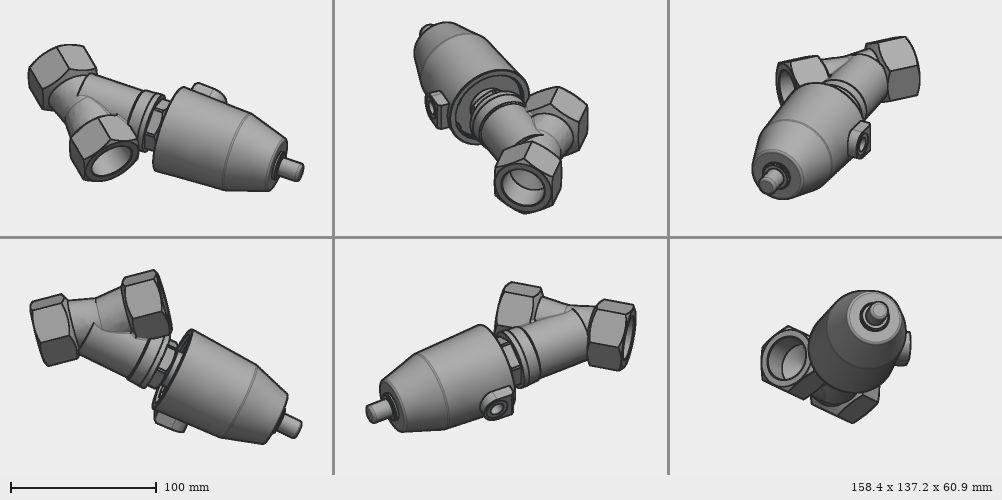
import cadquery as cq
import math

RUN_LENGTH = 90.0
HEX_FLATS = 41.0
HEX_END_DIAMETER = 40.3
HEX_CHAMFER_ANGLE = 30.0
HEX_HALF_ANGLE = 30.0
TUBE_RADIUS = 17.5
SOCKET_LENGTH = 26.0
BEND_RISE = 3.3
BORE_DIAMETER = 30.3
BORE_DEPTH = 19.0
BORE_CHAMFER = 0.5
DRILL_ANGLE = 118.0

AXIS_X = 29.8
AXIS_ANGLE = 42.0

BRANCH_START = 6.3
BRANCH_RADIUS = 19.0
COLLAR_START = 45.6
COLLAR_STEP = 1.0
COLLAR_TOP_RADIUS = 20.5
BRANCH_END = 55.1
JOINT_FILLET = 1.3

FLANGE_RADIUS = 20.6
FLANGE_END = 59.3
BONNET_FLATS = 32.0
BONNET_CORNER_RADIUS = 17.99
BONNET_HEX_END = 68.5
BONNET_END_RADIUS = 14.0
NECK_RADIUS = 13.0
VENT_DIAMETER = 2.5
VENT_DEPTH = 3.2
VENT_PLACE = 70.0

HOUSING_START = 71.0
HOUSING_RADIUS = 30.5
SHOULDER_PLACE = 121.9
SHOULDER_RADIUS = 27.9
SHOULDER_FILLET = 4.8
CONE_END_RADIUS = 18.94
HOUSING_END = 150.9
END_FILLET = 1.9
RIM_CHAMFER = 0.5

PLATE_RADIUS = 26.0
PLATE_SETBACK = 4.0
PLATE_THICKNESS = 4.8

RING_THICKNESS = 1.9
RING_INNER_RADIUS = 25.2
EAR_INNER_RADIUS = 24.0
RING_GAP_HALF_ANGLE = 20.0
EAR_SPAN_ANGLE = 10.0

PORT_START = 75.3
PORT_HOLE_PLACE = 88.5
PORT_WIDTH = 20.0
PORT_HEIGHT = 36.3
PORT_CHAMFER = 2.0
PORT_RECESS_DIAMETER = 16.0
PORT_RECESS_DEPTH = 0.3
PORT_HOLE_DIAMETER = 9.8
PORT_HOLE_DEPTH = 12.7

INDICATOR_FLANGE_RADIUS = 10.0
INDICATOR_FLANGE_THICKNESS = 2.7
INDICATOR_FLANGE_CHAMFER = 1.0
STEM_RADIUS = 6.5
STEM_END = 168.3
STEM_END_FILLET = 1.9


def on_actuator_axis(body):
    """Move a body built along the X axis to the actuator axis."""
    return body.rotate((0, 0, 0), (0, 0, 1), AXIS_ANGLE).translate((AXIS_X, 0, 0))


def turned(points):
    """Revolve (place along X, radius) points about the X axis; the ends close on the axis."""
    outline = [(points[0][0], 0)] + points + [(points[-1][0], 0)]
    return cq.Workplane("XY").polyline(outline).close().revolve(360, (0, 0, 0), (1, 0, 0))


def hex_prism(flats, start, end):
    """Hexagonal bar along X with corners at +Z and -Z."""
    corner_diameter = flats / math.cos(math.radians(HEX_HALF_ANGLE))
    bar = cq.Workplane("YZ").polygon(6, corner_diameter).extrude(end - start)
    return bar.rotate((0, 0, 0), (1, 0, 0), 90).translate((start, 0, 0))


def socket():
    """Chamfered hexagonal socket at the start of the run, with a conical shoulder to the tube."""
    slope = math.tan(math.radians(HEX_CHAMFER_ANGLE))
    corner_radius = HEX_FLATS / 2 / math.cos(math.radians(HEX_HALF_ANGLE))
    end_radius = HEX_END_DIAMETER / 2
    envelope = turned([
        (0, end_radius),
        ((corner_radius - end_radius) * slope, corner_radius),
        (SOCKET_LENGTH - (corner_radius - TUBE_RADIUS) * slope, corner_radius),
        (SOCKET_LENGTH, TUBE_RADIUS),
    ])
    return hex_prism(HEX_FLATS, 0, SOCKET_LENGTH).intersect(envelope)


def socket_bore():
    """Drilled blind bore with a chamfered mouth and a conical bottom."""
    radius = BORE_DIAMETER / 2
    tip = BORE_DEPTH + radius / math.tan(math.radians(DRILL_ANGLE / 2))
    outline = [(0, 0), (0, radius + BORE_CHAMFER), (BORE_CHAMFER, radius), (BORE_DEPTH, radius), (tip, 0)]
    return cq.Workplane("XY").polyline(outline).close().revolve(360, (0, 0, 0), (1, 0, 0))


def half_tube():
    """Half of the bent tube, from the socket to mid length."""
    length = RUN_LENGTH / 2 - SOCKET_LENGTH
    return (
        cq.Workplane("YZ", origin=(SOCKET_LENGTH, 0, 0)).circle(TUBE_RADIUS)
        .workplane(offset=length).center(BEND_RISE, 0).circle(TUBE_RADIUS)
        .loft(ruled=True)
    )


def mirrored_pair(half):
    """A half of the run joined to its mirror image about mid length."""
    return half.union(half.mirror("YZ").translate((RUN_LENGTH, 0, 0)))


def radius_about_actuator_axis(point):
    """Distance of a point from the actuator axis."""
    angle = math.radians(AXIS_ANGLE)
    across = point.y * math.cos(angle) - (point.x - AXIS_X) * math.sin(angle)
    return math.hypot(across, point.z)


def joint_edges(body):
    """Edges past mid length where the branch cylinder meets the tube and the outlet socket."""
    tolerance = 0.03
    middle = 0.5
    edges = []
    for edge in body.edges().vals():
        points = [edge.startPoint(), edge.positionAt(middle), edge.endPoint()]
        on_branch = all(abs(radius_about_actuator_axis(p) - BRANCH_RADIUS) < tolerance for p in points)
        at_collar = edge.geomType() == "CIRCLE"
        if on_branch and not at_collar and points[1].x > RUN_LENGTH / 2:
            edges.append(edge)
    return edges


def make_valve_body():
    branch = on_actuator_axis(turned([
        (BRANCH_START, BRANCH_RADIUS),
        (COLLAR_START, BRANCH_RADIUS),
        (COLLAR_START + COLLAR_STEP, BRANCH_RADIUS + COLLAR_STEP),
        (BRANCH_END, COLLAR_TOP_RADIUS),
    ]))
    run = mirrored_pair(half_tube().union(socket()))
    bore = socket_bore()
    body = run.union(branch)
    body = body.newObject(joint_edges(body)).fillet(JOINT_FILLET)
    body = body.cut(bore)
    return body.cut(bore.mirror("YZ").translate((RUN_LENGTH, 0, 0)))


def make_bonnet():
    flange = turned([(BRANCH_END, FLANGE_RADIUS), (FLANGE_END, FLANGE_RADIUS)])
    chamfer_length = (BONNET_CORNER_RADIUS - BONNET_END_RADIUS) * math.tan(math.radians(HEX_CHAMFER_ANGLE))
    envelope = turned([
        (FLANGE_END, BONNET_CORNER_RADIUS),
        (BONNET_HEX_END - chamfer_length, BONNET_CORNER_RADIUS),
        (BONNET_HEX_END, BONNET_END_RADIUS),
    ])
    hexagon = hex_prism(BONNET_FLATS, FLANGE_END, BONNET_HEX_END).intersect(envelope)
    plate_front = HOUSING_START + PLATE_SETBACK
    neck = turned([(BONNET_HEX_END, NECK_RADIUS), (plate_front, NECK_RADIUS)])
    plate = turned([(plate_front, PLATE_RADIUS), (plate_front + PLATE_THICKNESS, PLATE_RADIUS)])
    vent = (
        cq.Workplane("XZ", origin=(VENT_PLACE, NECK_RADIUS, 0))
        .circle(VENT_DIAMETER / 2).extrude(VENT_DEPTH)
    )
    return on_actuator_axis(flange.union(hexagon).union(neck).union(plate).cut(vent))


def housing_shell():
    shell = turned([
        (HOUSING_START, HOUSING_RADIUS),
        (SHOULDER_PLACE, SHOULDER_RADIUS),
        (HOUSING_END, CONE_END_RADIUS),
    ])
    shoulder = cq.selectors.RadiusNthSelector(1)
    shell = shell.edges("%CIRCLE").edges(shoulder).fillet(SHOULDER_FILLET)
    shell = shell.faces(">X").edges().fillet(END_FILLET)
    shell = shell.faces("<X").edges().chamfer(RIM_CHAMFER)
    return shell


def port_block():
    """Port with one rounded end, reaching down into the housing, and the hole to cut in it."""
    taper = math.degrees(math.atan((HOUSING_RADIUS - SHOULDER_RADIUS) / (SHOULDER_PLACE - HOUSING_START)))
    straight = PORT_HOLE_PLACE - PORT_START
    depth = PORT_HEIGHT - PLATE_RADIUS
    block = (
        cq.Workplane("XZ")
        .moveTo(-straight, -PORT_WIDTH / 2).lineTo(0, -PORT_WIDTH / 2)
        .threePointArc((PORT_WIDTH / 2, 0), (0, PORT_WIDTH / 2))
        .lineTo(-straight, PORT_WIDTH / 2).close().extrude(depth)
    )
    block = block.faces("<X").edges(">Y").chamfer(PORT_CHAMFER)
    hole = (
        cq.Workplane("XZ").circle(PORT_RECESS_DIAMETER / 2).extrude(PORT_RECESS_DEPTH)
        .union(cq.Workplane("XZ").circle(PORT_HOLE_DIAMETER / 2).extrude(PORT_HOLE_DEPTH))
    )
    place = (PORT_HOLE_PLACE, PORT_HEIGHT, 0)
    return [part.rotate((0, 0, 0), (0, 0, 1), -taper).translate(place) for part in (block, hole)]


def make_housing():
    block, hole = port_block()
    recess = turned([
        (HOUSING_START, PLATE_RADIUS),
        (HOUSING_START + PLATE_SETBACK + PLATE_THICKNESS, PLATE_RADIUS),
    ])
    return on_actuator_axis(housing_shell().union(block).cut(hole).cut(recess))


def ring_sector(inner_radius, start_angle, end_angle):
    """Flat ring sector of the retaining ring's thickness; angles run from the port side about X."""
    def point(radius, angle):
        return (radius * math.cos(math.radians(angle)), radius * math.sin(math.radians(angle)))

    middle_angle = (start_angle + end_angle) / 2
    plate_front = HOUSING_START + PLATE_SETBACK
    return (
        cq.Workplane("YZ", origin=(plate_front - RING_THICKNESS, 0, 0))
        .moveTo(*point(PLATE_RADIUS, start_angle))
        .threePointArc(point(PLATE_RADIUS, middle_angle), point(PLATE_RADIUS, end_angle))
        .lineTo(*point(inner_radius, end_angle))
        .threePointArc(point(inner_radius, middle_angle), point(inner_radius, start_angle))
        .close().extrude(RING_THICKNESS)
    )


def make_retaining_ring():
    ear_end = RING_GAP_HALF_ANGLE + EAR_SPAN_ANGLE
    ring = ring_sector(RING_INNER_RADIUS, RING_GAP_HALF_ANGLE, 360 - RING_GAP_HALF_ANGLE)
    ring = ring.union(ring_sector(EAR_INNER_RADIUS, RING_GAP_HALF_ANGLE, ear_end))
    ring = ring.union(ring_sector(EAR_INNER_RADIUS, -ear_end, -RING_GAP_HALF_ANGLE))
    return on_actuator_axis(ring)


def make_indicator():
    flange_end = HOUSING_END + INDICATOR_FLANGE_THICKNESS
    flange = turned([(HOUSING_END, INDICATOR_FLANGE_RADIUS), (flange_end, INDICATOR_FLANGE_RADIUS)])
    flange = flange.faces(">X").edges().chamfer(INDICATOR_FLANGE_CHAMFER)
    stem = turned([(flange_end, STEM_RADIUS), (STEM_END, STEM_RADIUS)])
    stem = stem.faces(">X").edges().fillet(STEM_END_FILLET)
    return on_actuator_axis(flange.union(stem))


valve_body = make_valve_body()
bonnet = make_bonnet()
housing = make_housing()
retaining_ring = make_retaining_ring()
indicator = make_indicator()

result = cq.Compound.makeCompound([
    valve_body.val(),
    bonnet.val(),
    housing.val(),
    retaining_ring.val(),
    indicator.val(),
])